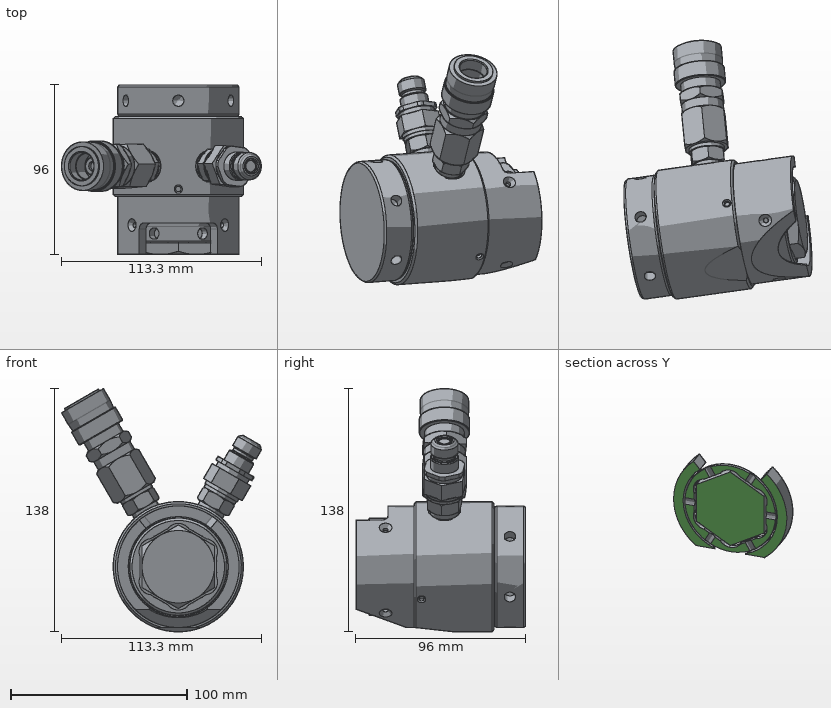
import cadquery as cq
import math

total_length = 96.0
overlap = 1.4

sleeve_radius = 34.5
drum_radius = 37.0
drum_front = 32.8
drum_back = 78.1
drum_chamfer = 1.2
flange_front = 78.5
flange_front_chamfer = (0.5, 1.1)
flange_back_chamfer = (0.8, 1.2)

sleeve_flat_height = -24.1
sleeve_flat_angle = 20.0
drum_flat_height = -sleeve_radius
drum_flat_angle = 6.3

bore_radius = 28.4
bore_depth = 18.6
flat_edge_chamfer = 1.4
notch_depth = 17.9
notch_half_angle = 40.0
notch_fillet = 3.6

ring_radius = 27.5
ring_front = 6.6
ring_flare_start = 16.0
ring_flare_radius = 27.7
ring_chamfer = (1.4, 1.0)
socket_across_flats = 43.3
socket_corner_radius = 23.4
socket_relief_radius = 7.3
socket_relief_offset = 17.2
nut_across_flats = 41.0
nut_chamfer_angle = 30.0
nut_turn = 30.0

flange_hole_count = 6
flange_hole_radius = 3.2
flange_hole_depth = 6.9
flange_hole_y = 87.1
ring_hole_count = 6
ring_hole_radius = flange_hole_radius
ring_hole_y = 11.9
sleeve_hole_y = 16.7
sleeve_hole_angle = 50.0
countersink_radius = 3.6
countersink_depth = 2.2
sleeve_hole_radius = 1.4
sleeve_hole_depth = 4.1
screw_hole_count = 3
screw_hole_y = 37.1
screw_hole_radius = 2.3
screw_socket_radius = 1.5
screw_cone_depth = 0.8
screw_hole_depth = 2.8
drill_tip_angle = 30.0

fitting_y = 50.0
fitting_tilt = 30.0
fitting_root = 27.5
spotface_radius = 9.1
spotface_floor = 35.4
neck_radius = 8.0
adapter_start = 38.6
adapter_end = 46.5
adapter_collar_end = 48.4
adapter_collar_radius = 10.0
adapter_across_flats = 18.0
adapter_chamfer_angle = 30.0
coupler_adapter_turn = 11.0
nipple_adapter_turn = -9.0


def revolve_y(points):
    """Turned solid about the Y axis from (radius, y) points."""
    return cq.Workplane("XY").polyline(points).close().revolve(360, (0, 0, 0), (0, 1, 0))


def revolve_z(points):
    """Turned solid about the Z axis from (radius, z) points."""
    return cq.Workplane("XZ").polyline(points).close().revolve(360, (0, 0, 0), (0, 1, 0))


def cylinder_z(radius, start, end):
    """Cylinder on the Z axis between two heights."""
    return cq.Workplane("XY").workplane(offset=start).circle(radius).extrude(end - start)


def hexagon_z(across_flats, start, end, turn=0.0):
    """Hexagonal prism along Z with a corner `turn` degrees from +X."""
    corner_diameter = across_flats / math.cos(math.radians(30))
    prism = cq.Workplane("XY").workplane(offset=start).polygon(6, corner_diameter).extrude(end - start)
    return prism.rotate((0, 0, 0), (0, 0, 1), turn)


def chamfered_hexagon_z(across_flats, start, end, turn, angle, chamfer_end=True):
    """Hexagonal prism whose corners are turned off by a cone at the start and, optionally, the end."""
    face_radius = across_flats / 2
    corner_radius = face_radius / math.cos(math.radians(30)) + overlap
    cone_length = (corner_radius - face_radius) * math.tan(math.radians(angle))
    points = [(0, start), (face_radius, start), (corner_radius, start + cone_length)]
    if chamfer_end:
        points += [(corner_radius, end - cone_length), (face_radius, end), (0, end)]
    else:
        points += [(corner_radius, end), (0, end)]
    return hexagon_z(across_flats, start, end, turn).intersect(revolve_z(points))


def lay_along_y(solid):
    """Turn a solid built along +Z so that it runs along +Y, with +Y becoming -Z."""
    return solid.rotate((0, 0, 0), (1, 0, 0), -90)


def place_radially(solid, angle, y):
    """Move a solid built along +Z to station y and lean it `angle` degrees from +Z toward +X."""
    return solid.rotate((0, 0, 0), (0, 1, 0), angle).translate((0, y, 0))


def below_slope(y, z, angle):
    """Large block below the plane through (y, z) that descends `angle` degrees toward +Y."""
    size = 3 * total_length
    block = cq.Workplane("XY").box(size, size, size).translate((0, 0, -size / 2))
    return block.rotate((0, 0, 0), (1, 0, 0), -angle).translate((0, y, z))


def make_sleeve():
    sleeve = revolve_y([
        (0, 0), (sleeve_radius, 0), (sleeve_radius, drum_front + overlap), (0, drum_front + overlap),
    ])
    bore = revolve_y([(0, 0), (bore_radius, 0), (bore_radius, bore_depth), (0, bore_depth)])
    flat = below_slope(0, sleeve_flat_height, sleeve_flat_angle)
    sleeve = sleeve.cut(flat).cut(bore)
    edge_drop = bore_radius + sleeve_flat_height
    edge_y = edge_drop / math.tan(math.radians(sleeve_flat_angle))
    flat_edge = cq.selectors.NearestToPointSelector((0, edge_y, -bore_radius))
    sleeve = sleeve.edges(flat_edge).chamfer(flat_edge_chamfer)
    return sleeve.cut(make_notch())


def make_notch():
    """Wedge-shaped opening in the sleeve wall with rounded inner corners."""
    slope = math.tan(math.radians(notch_half_angle))
    inner, outer = bore_radius / 2, 2 * sleeve_radius
    wedge = (
        cq.Workplane("XZ")
        .polyline([
            (-inner * slope, inner), (inner * slope, inner),
            (outer * slope, outer), (-outer * slope, outer),
        ])
        .close()
        .extrude(-notch_depth)
    )
    wedge = wedge.edges(">Y").edges("not |X").fillet(notch_fillet)
    core = revolve_y([(0, 0), (bore_radius, 0), (bore_radius, notch_depth), (0, notch_depth)])
    return wedge.cut(core)


def make_drum():
    rim = drum_radius - drum_chamfer
    drum = revolve_y([
        (0, drum_front), (rim, drum_front),
        (drum_radius, drum_front + drum_chamfer), (drum_radius, drum_back - drum_chamfer),
        (rim, drum_back), (0, drum_back),
    ])
    return drum.cut(below_slope(drum_front, drum_flat_height, drum_flat_angle))


def make_flange():
    front_radial, front_axial = flange_front_chamfer
    back_radial, back_axial = flange_back_chamfer
    front_radius = sleeve_radius - front_radial
    return revolve_y([
        (0, drum_back - overlap), (front_radius, drum_back - overlap), (front_radius, flange_front),
        (sleeve_radius, flange_front + front_axial), (sleeve_radius, total_length - back_axial),
        (sleeve_radius - back_radial, total_length), (0, total_length),
    ])


def make_socket_ring():
    """Ring with a corner-relieved hexagon socket and six radial holes."""
    radial, axial = ring_chamfer
    ring = revolve_y([
        (0, ring_front), (ring_radius - radial, ring_front), (ring_radius, ring_front + axial),
        (ring_radius, ring_flare_start), (ring_flare_radius, bore_depth),
        (ring_flare_radius, bore_depth + overlap), (0, bore_depth + overlap),
    ])
    socket = hexagon_z(socket_across_flats, 0, bore_depth, nut_turn)
    socket = socket.intersect(cylinder_z(socket_corner_radius, 0, bore_depth))
    corners = (
        cq.Workplane("XY")
        .polarArray(socket_relief_offset, nut_turn, 360, 6)
        .circle(socket_relief_radius)
        .extrude(bore_depth)
    )
    ring = ring.cut(lay_along_y(socket)).cut(lay_along_y(corners))
    for index in range(ring_hole_count):
        hole = cylinder_z(ring_hole_radius, socket_relief_offset, ring_radius + overlap)
        ring = ring.cut(place_radially(hole, 360 / ring_hole_count * (index + 0.5), ring_hole_y))
    return ring


def make_nut():
    nut = chamfered_hexagon_z(
        nut_across_flats, 0, bore_depth + overlap, nut_turn, nut_chamfer_angle, chamfer_end=False
    )
    return lay_along_y(nut)


def flange_hole():
    floor = sleeve_radius - flange_hole_depth
    tip = floor - flange_hole_radius * math.tan(math.radians(drill_tip_angle))
    top = sleeve_radius + overlap
    return revolve_z([(0, tip), (flange_hole_radius, floor), (flange_hole_radius, top), (0, top)])


def countersunk_hole(surface, mouth_radius, cone_depth, hole_radius, depth):
    """Cutter for a blind hole with a conical mouth in a cylinder of radius `surface`."""
    return revolve_z([
        (0, surface - depth), (hole_radius, surface - depth), (hole_radius, surface - cone_depth),
        (mouth_radius, surface), (mouth_radius, surface + overlap), (0, surface + overlap),
    ])


def make_housing():
    housing = make_drum().union(make_sleeve()).union(make_flange())
    for index in range(flange_hole_count):
        housing = housing.cut(place_radially(flange_hole(), 360 / flange_hole_count * index, flange_hole_y))
    sleeve_hole = countersunk_hole(
        sleeve_radius, countersink_radius, countersink_depth, sleeve_hole_radius, sleeve_hole_depth
    )
    for angle in (sleeve_hole_angle, sleeve_hole_angle + 90):
        for side in (-1, 1):
            housing = housing.cut(place_radially(sleeve_hole, side * angle, sleeve_hole_y))
    screw_hole = countersunk_hole(
        drum_radius, screw_hole_radius, screw_cone_depth, screw_socket_radius, screw_hole_depth
    )
    for index in range(screw_hole_count):
        housing = housing.cut(place_radially(screw_hole, 360 / screw_hole_count * index, screw_hole_y))
    spotface = cylinder_z(spotface_radius, spotface_floor, drum_radius + overlap)
    for angle in (-fitting_tilt, fitting_tilt):
        housing = housing.cut(place_radially(spotface, angle, fitting_y))
    return housing


def make_adapter(turn):
    """Neck, hexagon and collar that both fittings share."""
    neck = cylinder_z(neck_radius, fitting_root, adapter_start + overlap)
    hexagon = chamfered_hexagon_z(
        adapter_across_flats, adapter_start, adapter_end, turn, adapter_chamfer_angle
    )
    collar = cylinder_z(adapter_collar_radius, adapter_end, adapter_collar_end + overlap)
    return neck.union(hexagon).union(collar)


def make_coupler():
    """Female quick coupler, along +Z."""
    across_flats, turn, chamfer_angle = 24.0, 4.6, 40
    long_hex_end = 70.1
    middle_radius, throat_radius = 11.9, 11.3
    short_hex_start, short_hex_end = 75.2, 82.0
    collar_start, collar_end, collar_radius, collar_chamfer = 87.5, 96.5, 14.3, 0.4
    cap_root_radius, cap_taper_end, cap_radius, cap_end = 13.4, 101.0, 13.8, 108.6
    lip_radius, lip_end = 11.2, 109.8
    mouth_radius, entry_radius, bore_floor = 8.4, 7.9, 93.0
    entry_end, inner_radius = 102.8, 7.5
    valve_radius, valve_top, valve_chamfer = 5.4, 96.7, 0.5
    valve_hole_radius, valve_hole_floor = 2.8, 94.4

    coupler = make_adapter(coupler_adapter_turn)
    coupler = coupler.union(
        chamfered_hexagon_z(across_flats, adapter_collar_end, long_hex_end, turn, chamfer_angle)
    )
    coupler = coupler.union(cylinder_z(middle_radius, long_hex_end - overlap, short_hex_start + overlap))
    coupler = coupler.union(
        chamfered_hexagon_z(across_flats, short_hex_start, short_hex_end, turn, chamfer_angle)
    )
    coupler = coupler.union(cylinder_z(throat_radius, short_hex_end - overlap, collar_start + overlap))
    collar_face = collar_radius - collar_chamfer
    head = revolve_z([
        (0, collar_start), (collar_face, collar_start),
        (collar_radius, collar_start + collar_chamfer), (collar_radius, collar_end - collar_chamfer),
        (collar_face, collar_end), (cap_root_radius, collar_end),
        (cap_radius, cap_taper_end), (cap_radius, cap_end),
        (lip_radius, cap_end), (lip_radius, lip_end), (mouth_radius, lip_end),
        (entry_radius, lip_end - (mouth_radius - entry_radius)), (entry_radius, entry_end),
        (inner_radius, entry_end), (inner_radius, bore_floor), (valve_radius, bore_floor),
        (valve_radius, valve_top - valve_chamfer),
        (valve_radius - valve_chamfer, valve_top), (valve_hole_radius, valve_top),
        (valve_hole_radius, valve_hole_floor), (0, valve_hole_floor),
    ])
    return coupler.union(head)


def make_nipple():
    """Male quick-coupler nipple, along +Z."""
    across_flats, turn = 22.0, -7.0
    hex_start, hex_end = 50.5, 60.2
    collar_radius, shoulder_radius = 10.6, 10.2
    flange_start, flange_end, flange_corner_radius = 63.0, 65.5, 11.9
    stem_radius, stem_end, stem_chamfer = 8.0, 72.1, 0.5
    groove_mouth_radius, groove_radius, groove_start, groove_end = 6.6, 6.3, 72.8, 74.3
    head_base_radius, head_radius, head_start, head_side_end = 7.2, 7.7, 75.0, 80.8
    head_shoulder_radius, head_shoulder = 6.8, 81.9
    tip_radius, tip_end = 5.5, 82.8
    recess_radius, recess_step_radius, recess_step = 4.5, 4.0, 82.3
    valve_radius, valve_face = 3.3, 81.7

    nipple = make_adapter(nipple_adapter_turn)
    nipple = nipple.union(cylinder_z(collar_radius, adapter_collar_end, hex_start + overlap))
    nipple = nipple.union(hexagon_z(across_flats, hex_start, hex_end, turn))
    nipple = nipple.union(cylinder_z(shoulder_radius, hex_end - overlap, flange_start + overlap))
    flange = hexagon_z(across_flats, flange_start, flange_end, turn)
    nipple = nipple.union(flange.intersect(cylinder_z(flange_corner_radius, flange_start, flange_end)))
    plug = revolve_z([
        (0, flange_end - overlap), (stem_radius, flange_end - overlap), (stem_radius, stem_end - stem_chamfer),
        (stem_radius - stem_chamfer, stem_end), (groove_mouth_radius, stem_end),
        (groove_radius, groove_start), (groove_radius, groove_end), (head_base_radius, head_start),
        (head_radius, head_start), (head_radius, head_side_end), (head_shoulder_radius, head_shoulder),
        (tip_radius, tip_end), (recess_radius, tip_end), (recess_step_radius, recess_step),
        (valve_radius, recess_step), (valve_radius, valve_face), (0, valve_face),
    ])
    return nipple.union(plug)


result = (
    make_housing()
    .union(make_socket_ring())
    .union(make_nut())
    .union(place_radially(make_coupler(), -fitting_tilt, fitting_y))
    .union(place_radially(make_nipple(), fitting_tilt, fitting_y))
)